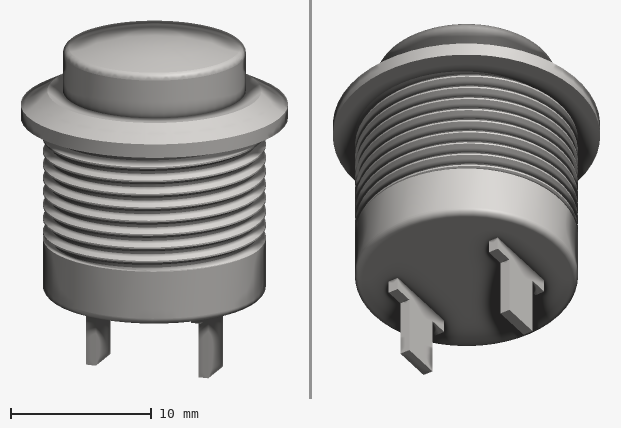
import cadquery as cq
import math

TOTAL_HEIGHT = 24.5
TERMINAL_SHOULDER_Z = 4.5
BASE_BOTTOM_Z = 5.51
BASE_TOP_Z = 9.5
FLANGE_BOTTOM_Z = 18.5
FLANGE_RIM_TOP_Z = 19.5
FLANGE_TOP_Z = 20.5

BUTTON_RADIUS = 13.0 / 2
DOME_RISE = 0.8
BUTTON_FILLET = 0.5

FLANGE_RADIUS = 19.0 / 2
FLANGE_TOP_RADIUS = 15.25 / 2
THREAD_MAJOR_RADIUS = 15.88 / 2
THREAD_ROOT_RADIUS = 14.75 / 2
THREAD_TURNS = 9
THREAD_PITCH = (FLANGE_BOTTOM_Z - BASE_TOP_Z) / THREAD_TURNS
THREAD_CREST_WIDTH = THREAD_PITCH / 8
THREAD_HALF_ANGLE = 30
THREAD_START_Z = 8.45
THREAD_EMBED = 0.12

BASE_RADIUS = THREAD_MAJOR_RADIUS
BASE_FILLET = 0.5

TERMINAL_THICKNESS = 0.75
TERMINAL_WIDTH = 3.0
TERMINAL_SHOULDER_WIDTH = 6.0
TERMINAL_OFFSET = 4.26


def make_button():
    """Round button with a domed top and a rounded rim."""
    dome_edge_z = TOTAL_HEIGHT - DOME_RISE
    sphere_radius = (BUTTON_RADIUS**2 + DOME_RISE**2) / (2 * DOME_RISE)
    mid_radius = BUTTON_RADIUS / 2
    mid_z = TOTAL_HEIGHT - sphere_radius + math.sqrt(sphere_radius**2 - mid_radius**2)
    body = (
        cq.Workplane("XZ")
        .moveTo(0, FLANGE_TOP_Z)
        .lineTo(BUTTON_RADIUS, FLANGE_TOP_Z)
        .lineTo(BUTTON_RADIUS, dome_edge_z)
        .threePointArc((mid_radius, mid_z), (0, TOTAL_HEIGHT))
        .close()
        .revolve(360, (0, 0, 0), (0, 1, 0))
    )
    rim_zone = cq.selectors.BoxSelector(
        (-BUTTON_RADIUS, -BUTTON_RADIUS, dome_edge_z - DOME_RISE / 2),
        (BUTTON_RADIUS, BUTTON_RADIUS, dome_edge_z + DOME_RISE / 2),
        boundingbox=False,
    )
    return body.edges("%CIRCLE").edges(rim_zone).fillet(BUTTON_FILLET)


def make_thread_ridge():
    """Right-handed helical ridge, trimmed to the space between base and flange."""
    inner_radius = THREAD_ROOT_RADIUS - THREAD_EMBED
    half_crest = THREAD_CREST_WIDTH / 2
    ridge_depth = THREAD_MAJOR_RADIUS - inner_radius
    half_foot = half_crest + ridge_depth * math.tan(math.radians(THREAD_HALF_ANGLE))
    helix_height = FLANGE_BOTTOM_Z + THREAD_PITCH - THREAD_START_Z
    helix = cq.Wire.makeHelix(
        THREAD_PITCH, helix_height, THREAD_ROOT_RADIUS, cq.Vector(0, 0, THREAD_START_Z)
    )
    ridge = (
        cq.Workplane("XZ")
        .polyline([
            (inner_radius, THREAD_START_Z - half_foot),
            (THREAD_MAJOR_RADIUS, THREAD_START_Z - half_crest),
            (THREAD_MAJOR_RADIUS, THREAD_START_Z + half_crest),
            (inner_radius, THREAD_START_Z + half_foot),
        ])
        .close()
        .sweep(cq.Workplane(obj=helix), isFrenet=True)
    )
    trim = (
        cq.Workplane("XY", origin=(0, 0, BASE_TOP_Z))
        .circle(FLANGE_RADIUS)
        .extrude(FLANGE_BOTTOM_Z - BASE_TOP_Z)
    )
    return ridge.intersect(trim)


def make_bushing():
    """Threaded barrel carrying a flange with a conical upper edge."""
    body = (
        cq.Workplane("XZ")
        .polyline([
            (0, BASE_TOP_Z),
            (THREAD_ROOT_RADIUS, BASE_TOP_Z),
            (THREAD_ROOT_RADIUS, FLANGE_BOTTOM_Z),
            (FLANGE_RADIUS, FLANGE_BOTTOM_Z),
            (FLANGE_RADIUS, FLANGE_RIM_TOP_Z),
            (FLANGE_TOP_RADIUS, FLANGE_TOP_Z),
            (0, FLANGE_TOP_Z),
        ])
        .close()
        .revolve(360, (0, 0, 0), (0, 1, 0))
    )
    return body.union(make_thread_ridge()).solids()


def make_base():
    """Plain round base with a rounded lower edge."""
    return (
        cq.Workplane("XY", origin=(0, 0, BASE_BOTTOM_Z))
        .circle(BASE_RADIUS)
        .extrude(BASE_TOP_Z - BASE_BOTTOM_Z)
        .faces("<Z")
        .edges()
        .fillet(BASE_FILLET)
    )


def make_terminal(center_x):
    """Flat T-shaped contact blade hanging from the base."""
    half_blade = TERMINAL_WIDTH / 2
    half_shoulder = TERMINAL_SHOULDER_WIDTH / 2
    return (
        cq.Workplane("YZ", origin=(center_x, 0, 0))
        .polyline([
            (-half_blade, 0),
            (half_blade, 0),
            (half_blade, TERMINAL_SHOULDER_Z),
            (half_shoulder, TERMINAL_SHOULDER_Z),
            (half_shoulder, BASE_BOTTOM_Z),
            (-half_shoulder, BASE_BOTTOM_Z),
            (-half_shoulder, TERMINAL_SHOULDER_Z),
            (-half_blade, TERMINAL_SHOULDER_Z),
        ])
        .close()
        .extrude(TERMINAL_THICKNESS / 2, both=True)
    )


button = make_button()
bushing = make_bushing()
base = make_base()
terminals = [make_terminal(side * TERMINAL_OFFSET) for side in (-1, 1)]

result = cq.Compound.makeCompound([
    button.val(),
    bushing.val(),
    base.val(),
    *[terminal.val() for terminal in terminals],
])